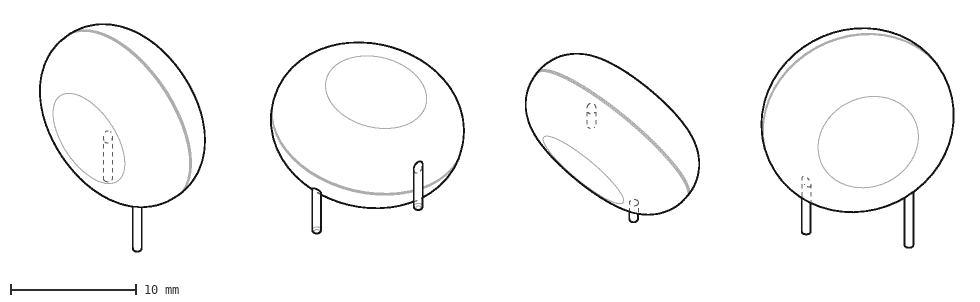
import cadquery as cq

body_diameter = 15.5
body_thickness = 7.5
edge_radius = 3.65

overall_height = 18.53
lead_diameter = 0.72
lead_offset_x = 3.75
lead_offset_y = 2.0
lead_tip_radius = 0.15

lead_length = overall_height - body_diameter / 2


def make_body():
    """Disc with both rims rounded, leaving flat faces and a narrow rim band."""
    disc = cq.Workplane("XZ").circle(body_diameter / 2).extrude(body_thickness / 2, both=True)
    return disc.edges("%CIRCLE").fillet(edge_radius)


def make_lead(x, y):
    """Round lead from inside the body down to its rounded tip."""
    lead = cq.Workplane("XY").center(x, y).circle(lead_diameter / 2).extrude(-lead_length)
    return lead.faces("<Z").fillet(lead_tip_radius)


result = make_body()
for side in (-1, 1):
    result = result.union(make_lead(side * lead_offset_x, -side * lead_offset_y))